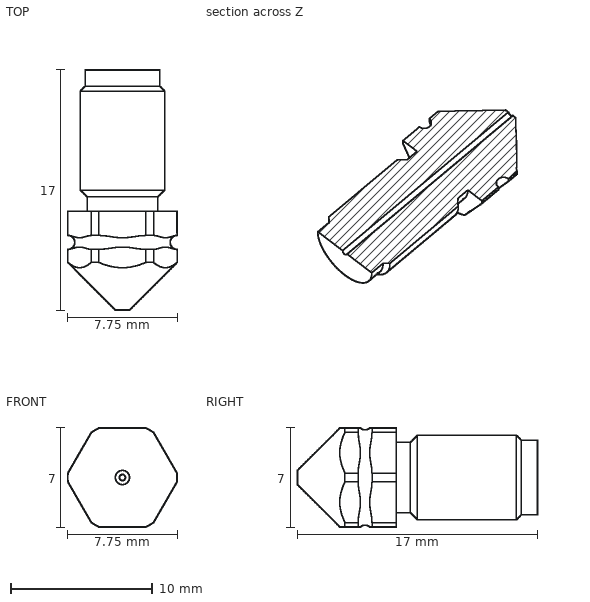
import cadquery as cq
import math

total_length = 17.0
hex_end = 7.0
neck_length = 1.0
shank_bottom_chamfer = 0.5
pilot_length = 1.15

across_flats = 7.0
across_corners = 7.75
tip_diameter = 1.0
neck_diameter = 5.0
shank_diameter = 6.0
pilot_diameter = 5.3
orifice_diameter = 0.4

groove_position = 4.8
groove_radius = 0.5

cone_end = (across_corners - tip_diameter) / 2
neck_end = hex_end + neck_length
pilot_start = total_length - pilot_length
shank_top_chamfer = (shank_diameter - pilot_diameter) / 2


def revolve_profile(profile):
    """Turn a closed profile, drawn as (radius, Y), around the nozzle axis."""
    return profile.close().revolve(360, (0, 0, 0), (0, 1, 0))


def hex_head():
    """Turned head with a conical tip and a ring groove, then cut to a hexagon."""
    corner_radius = across_corners / 2
    turned = revolve_profile(
        cq.Workplane("XY")
        .lineTo(tip_diameter / 2, 0)
        .lineTo(corner_radius, cone_end)
        .lineTo(corner_radius, groove_position - groove_radius)
        .threePointArc(
            (corner_radius - groove_radius, groove_position),
            (corner_radius, groove_position + groove_radius),
        )
        .lineTo(corner_radius, hex_end)
        .lineTo(0, hex_end)
    )
    sharp_diameter = across_flats / math.cos(math.radians(30))
    hexagon = cq.Workplane("XZ").polygon(6, sharp_diameter).extrude(-hex_end)
    return turned.intersect(hexagon)


def shank():
    """Neck, chamfered shank and narrower pilot end."""
    neck_radius = neck_diameter / 2
    shank_radius = shank_diameter / 2
    pilot_radius = pilot_diameter / 2
    return revolve_profile(
        cq.Workplane("XY")
        .moveTo(0, hex_end)
        .lineTo(neck_radius, hex_end)
        .lineTo(neck_radius, neck_end)
        .lineTo(shank_radius, neck_end + shank_bottom_chamfer)
        .lineTo(shank_radius, pilot_start - shank_top_chamfer)
        .lineTo(pilot_radius, pilot_start)
        .lineTo(pilot_radius, total_length)
        .lineTo(0, total_length)
    )


def orifice():
    """Straight hole along the whole axis."""
    return cq.Workplane("XZ").circle(orifice_diameter / 2).extrude(-total_length)


result = hex_head().union(shank()).cut(orifice())